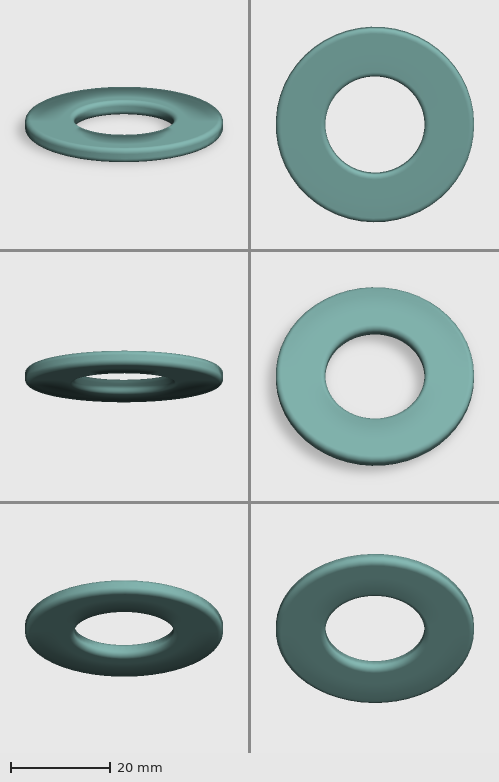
import cadquery as cq

outer_diameter = 40.0
hole_diameter = outer_diameter / 2
thickness = 3.0
edge_radius = thickness / 3

ring = (
    cq.Workplane("XY")
    .circle(outer_diameter / 2)
    .circle(hole_diameter / 2)
    .extrude(thickness)
)

result = ring.faces("|Z").edges().fillet(edge_radius)